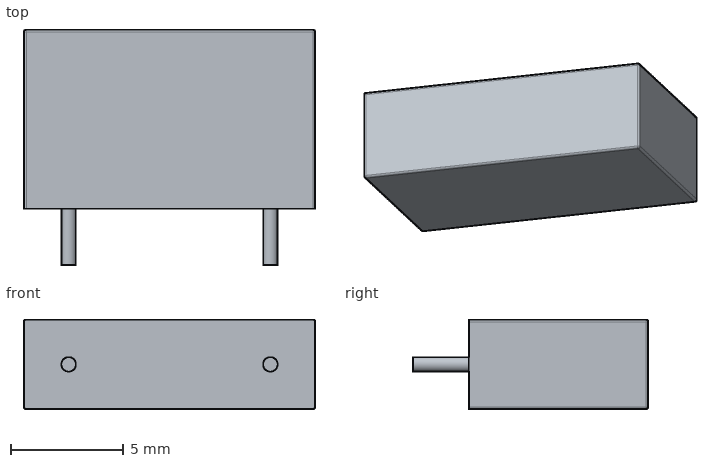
import cadquery as cq

body_width = 13.0
body_depth = 8.0
body_height = 4.0
edge_radius = 0.1

lead_diameter = 0.65
lead_length = 2.5
lead_pitch = 9.0


def make_body():
    """Block centred on X and Z with its lead face at Y = 0; all other edges are rounded."""
    block = cq.Workplane("XY").box(body_width, body_depth, body_height, centered=(True, False, True))
    return block.edges("|Y or >Y").fillet(edge_radius)


def make_lead(x_position):
    """Straight lead running from the lead face toward -Y at mid height."""
    return (
        cq.Workplane("XZ")
        .center(x_position, 0)
        .circle(lead_diameter / 2)
        .extrude(lead_length)
    )


result = make_body()
for side in (-1, 1):
    result = result.union(make_lead(side * lead_pitch / 2))